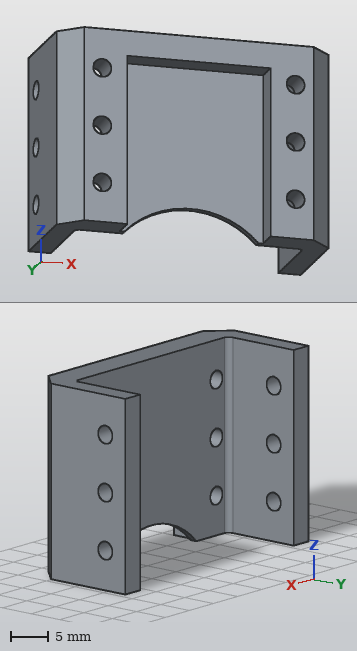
import cadquery as cq

width = 38.0
depth = 16.0
height = 27.0

leg_thickness = 3.1
base_thickness = 4.5
outer_chamfer = 3.0
inner_fillet = 0.8

recess_width = 20.0
recess_depth = 3.5
recess_top_margin = 3.5

arc_rise = 4.0
arc_chord = 18.7

hole_diameter = 2.5
hole_pitch = 8.0
hole_offsets = (-hole_pitch, 0.0, hole_pitch)
base_hole_spacing = 27.0
leg_hole_edge_distance = 3.5


def make_channel():
    """Channel standing on Z = 0, with its front face on Y = 0."""
    body = (
        cq.Workplane("XY")
        .box(width, depth, height, centered=(True, False, False))
        .edges("|Z and <Y")
        .chamfer(outer_chamfer)
    )
    inner_width = width - 2 * leg_thickness
    inner_depth = depth - base_thickness
    inside = (
        cq.Workplane("XY")
        .box(inner_width, inner_depth, height, centered=(True, False, False))
        .edges("|Z and <Y")
        .fillet(inner_fillet)
        .translate((0, base_thickness, 0))
    )
    return body.cut(inside)


def make_recess():
    recess_height = height - recess_top_margin
    return cq.Workplane("XY").box(
        recess_width, recess_depth, recess_height, centered=(True, False, False)
    )


def make_arc_cutout():
    """Circular segment whose chord lies on the bottom face."""
    return (
        cq.Workplane("XZ")
        .moveTo(-arc_chord / 2, 0)
        .threePointArc((0, arc_rise), (arc_chord / 2, 0))
        .close()
        .extrude(-base_thickness)
    )


def make_base_holes():
    columns = (-base_hole_spacing / 2, base_hole_spacing / 2)
    centers = [(x, height / 2 + offset) for x in columns for offset in hole_offsets]
    return (
        cq.Workplane("XZ")
        .pushPoints(centers)
        .circle(hole_diameter / 2)
        .extrude(-base_thickness)
    )


def make_leg_holes():
    """Cylinders that run across the whole width and pierce both legs."""
    hole_y = depth - leg_hole_edge_distance
    centers = [(hole_y, height / 2 + offset) for offset in hole_offsets]
    return (
        cq.Workplane("YZ")
        .pushPoints(centers)
        .circle(hole_diameter / 2)
        .extrude(width / 2, both=True)
    )


result = (
    make_channel()
    .cut(make_recess())
    .cut(make_arc_cutout())
    .cut(make_base_holes())
    .cut(make_leg_holes())
)